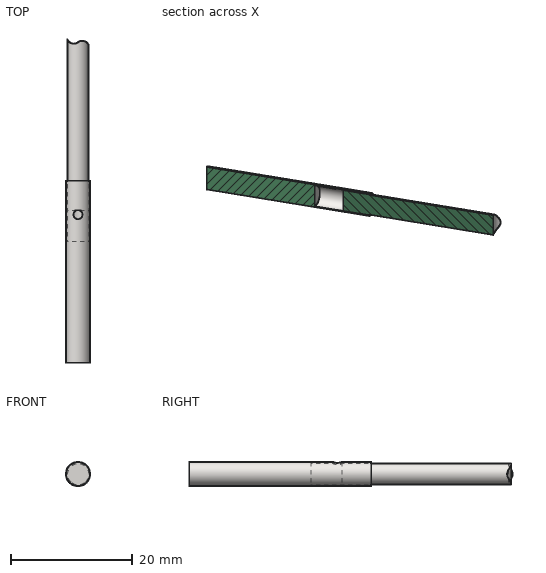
import cadquery as cq

total_length = 53.4

sleeve_diameter = 4.0
sleeve_length = 30.0
bore_diameter = 3.5
bore_depth = 10.0
bore_bottom_y = sleeve_length - bore_depth

inspection_hole_diameter = 1.5
inspection_hole_y = 24.45

cable_diameter = bore_diameter
cable_radius = cable_diameter / 2
cable_start_y = inspection_hole_y + inspection_hole_diameter / 2

break_middle_drop = 0.5
break_wave_height = 0.2
break_wave_x = 0.9
break_middle_y = total_length - break_middle_drop


def rod_along_y(diameter, start_y, end_y):
    """Solid cylinder on the Y axis between two Y positions."""
    plane = cq.Workplane(cq.Plane(origin=(0, start_y, 0), xDir=(1, 0, 0), normal=(0, 1, 0)))
    return plane.circle(diameter / 2).extrude(end_y - start_y)


def make_sleeve():
    """Sleeve with a blind bore and an inspection hole in its upper wall."""
    body = rod_along_y(sleeve_diameter, 0, sleeve_length)
    bore = rod_along_y(bore_diameter, bore_bottom_y, sleeve_length)
    inspection_hole = (
        cq.Workplane("XY")
        .center(0, inspection_hole_y)
        .circle(inspection_hole_diameter / 2)
        .extrude(sleeve_diameter / 2)
    )
    return body.cut(bore).cut(inspection_hole)


def make_cable():
    """Round cable whose free end is cut to a wave, constant along Z."""
    rod = rod_along_y(cable_diameter, cable_start_y, total_length)
    wave_outline = (
        cq.Workplane("XY")
        .moveTo(-cable_radius, cable_start_y)
        .lineTo(-cable_radius, total_length)
        .threePointArc((-break_wave_x, break_middle_y - break_wave_height), (0, break_middle_y))
        .threePointArc(
            (break_wave_x, break_middle_y + break_wave_height),
            (cable_radius, break_middle_y - break_middle_drop),
        )
        .lineTo(cable_radius, cable_start_y)
        .close()
        .extrude(cable_radius, both=True)
    )
    return rod.intersect(wave_outline)


sleeve = make_sleeve()
cable = make_cable()

result = cq.Compound.makeCompound([sleeve.val(), cable.val()])